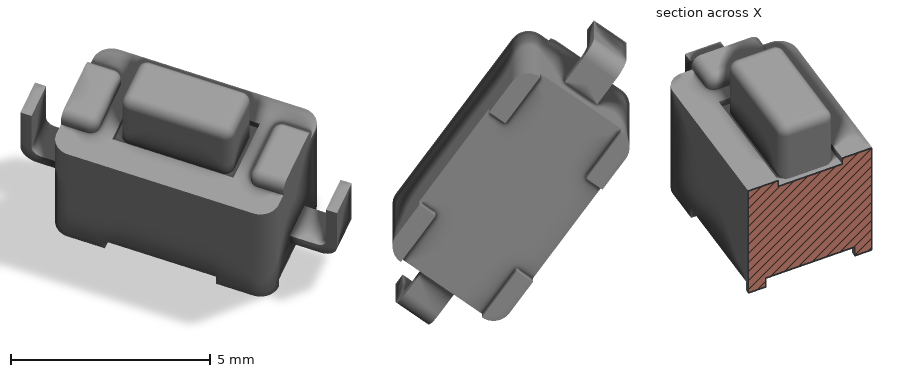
import cadquery as cq

body_length = 6.0
body_width = 3.5
body_height = 3.5
corner_radius = 0.5

relief_height = 0.3
relief_length = 3.0
relief_width = body_width - 2 * corner_radius

button_length = 3.0
button_width = 1.5
button_rise = 1.5
pocket_length = 3.27
pocket_width = 1.8
pocket_depth = 0.2

tab_length = 0.95
tab_width = 1.9
tab_height = 0.4

edge_round = 0.25

lead_span = 8.54
lead_width = 1.0
lead_thickness = 0.3
lead_bottom = 0.9
lead_top = 2.8
bend_inner_radius = 0.25
bend_outer_radius = 0.45


def block(length, width, height, base_z, center_x=0):
    """Box centred on Y = 0 with its underside at base_z."""
    return cq.Workplane("XY").box(length, width, height, (True, True, False)).translate((center_x, 0, base_z))


def make_housing():
    """Rounded block with crossed underside channels and the button pocket."""
    housing = block(body_length, body_width, body_height, 0).edges("|Z").fillet(corner_radius)
    housing = housing.cut(block(relief_length, body_width, relief_height, 0))
    housing = housing.cut(block(body_length, relief_width, relief_height, 0))
    pocket = block(pocket_length, pocket_width, pocket_depth, body_height - pocket_depth)
    return housing.cut(pocket)


def make_button():
    """Rounded button standing on the pocket floor."""
    button = block(button_length, button_width, button_rise + pocket_depth, body_height - pocket_depth)
    return button.edges("|Z or >Z").fillet(edge_round)


def make_tab():
    """Tab at the -X end, rounded everywhere except its flush outer face."""
    center_x = (tab_length - body_length) / 2
    tab = block(tab_length, tab_width, tab_height, body_height, center_x)
    return tab.edges("(|Z and >X) or (>Z and (not <X))").fillet(edge_round)


def make_lead():
    """L-shaped lead at the -X end, bent upwards."""
    outer_x = -lead_span / 2
    root_x = -body_length / 2
    lead = (
        cq.Workplane("XZ")
        .moveTo(root_x, lead_bottom)
        .lineTo(outer_x, lead_bottom)
        .lineTo(outer_x, lead_top)
        .lineTo(outer_x + lead_thickness, lead_top)
        .lineTo(outer_x + lead_thickness, lead_bottom + lead_thickness)
        .lineTo(root_x, lead_bottom + lead_thickness)
        .close()
        .extrude(lead_width / 2, both=True)
    )
    outer_corner = cq.NearestToPointSelector((outer_x, 0, lead_bottom))
    inner_corner = cq.NearestToPointSelector((outer_x + lead_thickness, 0, lead_bottom + lead_thickness))
    lead = lead.edges("|Y").edges(inner_corner).fillet(bend_inner_radius)
    return lead.edges("|Y").edges(outer_corner).fillet(bend_outer_radius)


result = make_housing().union(make_button())
for end_part in (make_tab(), make_lead()):
    result = result.union(end_part).union(end_part.mirror("YZ"))